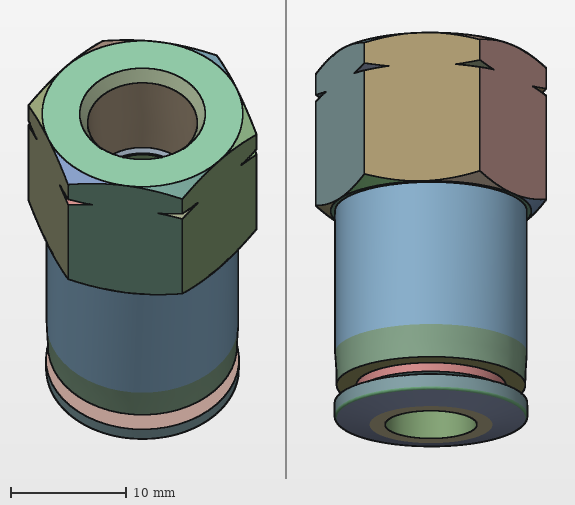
import cadquery as cq
import math

total_height = 33.0
hex_across_flats = 17.45
hex_bottom_z = 19.47
hex_chamfer_angle = 30.0
hex_flat_radius = hex_across_flats / 2
hex_corner_radius = hex_flat_radius / math.cos(math.radians(30))
hex_chamfer_drop = (hex_corner_radius - hex_flat_radius) * math.tan(math.radians(hex_chamfer_angle))

groove_z = 30.03
groove_root_radius = 9.2
groove_half_width = 0.33

body_radius = 16.7 / 2
body_end_radius = 16.45 / 2
taper_top_z = 6.55
body_bottom_z = 3.6

collar_radius = 13.0 / 2
collar_bottom_z = 2.8
neck_radius = 11.52 / 2
neck_flare_z = 2.25
neck_flare_radius = 11.85 / 2

ring_radius = 16.8 / 2
ring_top_z = 1.95
ring_cone_top_z = 0.63
ring_face_radius = 10.7 / 2
ring_edge_fillet = 0.23

bore_mouth_radius = 10.92 / 2
bore_chamfer_depth = 1.12
inlet_top_radius = 9.55 / 2
inlet_end_radius = 9.05 / 2
inlet_taper = 1 / 16
shoulder_radius = 8.35 / 2
through_radius = 8.0 / 2
inlet_top_z = total_height - bore_chamfer_depth
inlet_end_z = inlet_top_z - 2 * (inlet_top_radius - inlet_end_radius) / inlet_taper
shoulder_z = inlet_end_z - (inlet_end_radius - shoulder_radius)


def revolve_profile(points):
    """Revolve a closed outline of (radius, z) points about the Z axis."""
    return cq.Workplane("XZ").polyline(points).close().revolve(360, (0, 0, 0), (0, 1, 0))


def make_hexagon():
    """Hexagon with corners on the Y axis, both ends chamfered, and grooved corners."""
    prism = (
        cq.Workplane("XY", origin=(0, 0, hex_bottom_z))
        .polygon(6, 2 * hex_corner_radius)
        .extrude(total_height - hex_bottom_z)
        .rotate((0, 0, 0), (0, 0, 1), 90)
    )
    groove_slope = groove_half_width / (hex_corner_radius - groove_root_radius)
    margin = 0.15
    outer_radius = hex_corner_radius + margin
    chamfer_drop = hex_chamfer_drop + margin * math.tan(math.radians(hex_chamfer_angle))
    groove_reach = groove_slope * (outer_radius - groove_root_radius)
    envelope = revolve_profile([
        (0, hex_bottom_z),
        (hex_flat_radius, hex_bottom_z),
        (outer_radius, hex_bottom_z + chamfer_drop),
        (outer_radius, groove_z - groove_reach),
        (groove_root_radius, groove_z),
        (outer_radius, groove_z + groove_reach),
        (outer_radius, total_height - chamfer_drop),
        (hex_flat_radius, total_height),
        (0, total_height),
    ])
    return prism.intersect(envelope)


def make_round_body():
    """Body, collar and neck below the hexagon."""
    return revolve_profile([
        (0, ring_top_z),
        (neck_flare_radius, ring_top_z),
        (neck_radius, neck_flare_z),
        (neck_radius, collar_bottom_z),
        (collar_radius, collar_bottom_z),
        (collar_radius, body_bottom_z),
        (body_end_radius, body_bottom_z),
        (body_radius, taper_top_z),
        (body_radius, hex_bottom_z),
        (0, hex_bottom_z),
    ])


def make_release_ring():
    """Flange at the bottom end."""
    ring = revolve_profile([
        (0, 0),
        (ring_face_radius, 0),
        (ring_radius, ring_cone_top_z),
        (ring_radius, ring_top_z),
        (0, ring_top_z),
    ])
    lower_rim = cq.selectors.BoxSelector(
        (-ring_radius, -ring_radius, ring_cone_top_z - ring_edge_fillet),
        (ring_radius, ring_radius, ring_cone_top_z + ring_edge_fillet),
        boundingbox=False,
    )
    return ring.edges("%CIRCLE").edges(lower_rim).fillet(ring_edge_fillet)


def make_bore():
    """Chamfered mouth, tapered inlet, conical shoulder and through hole."""
    return revolve_profile([
        (0, 0),
        (through_radius, 0),
        (through_radius, shoulder_z),
        (shoulder_radius, shoulder_z),
        (inlet_end_radius, inlet_end_z),
        (inlet_top_radius, inlet_top_z),
        (bore_mouth_radius, total_height),
        (0, total_height),
    ])


result = make_hexagon().union(make_round_body()).union(make_release_ring()).cut(make_bore())